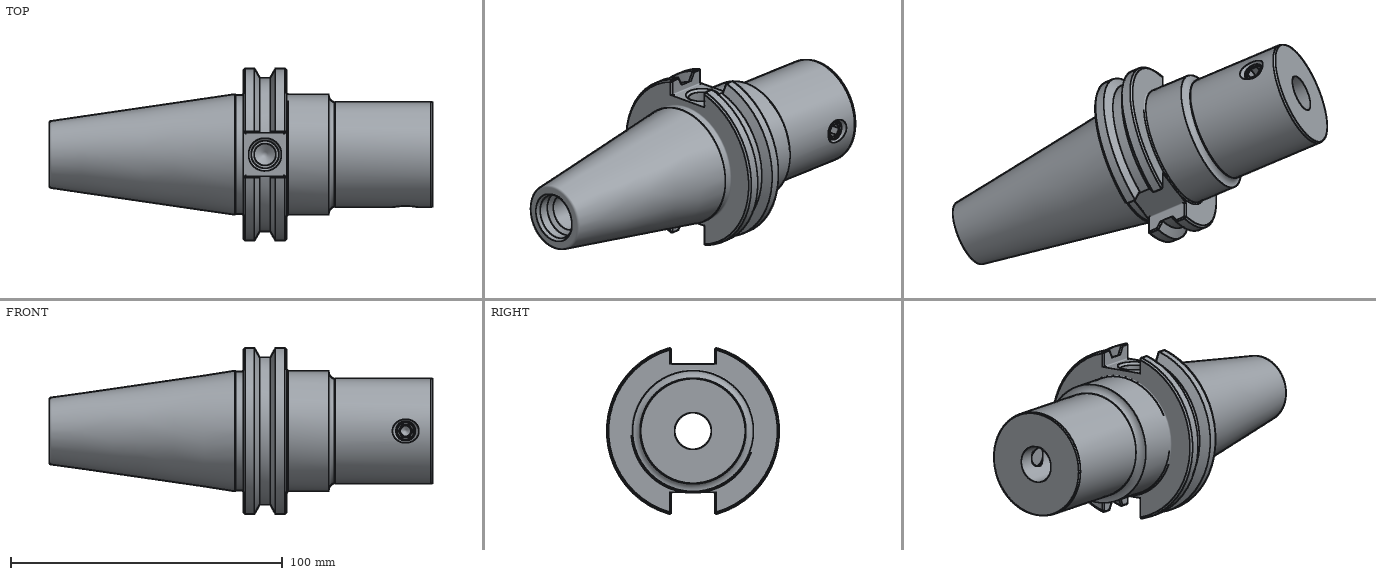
import cadquery as cq
import math

length = 141.2

gauge_diameter = 44.5
gauge_x = 68.4
taper_per_length = 7 / 24
nose_diameter = gauge_diameter - taper_per_length * gauge_x
nose_fillet = 1.0

neck_diameter = 43.9
neck_chamfer = (gauge_diameter - neck_diameter) / 2
flange_diameter = 63.5
flange_start = 71.5
flange_width = 16.0
flange_end = flange_start + flange_width
flange_chamfer = 0.7
flange_root_fillet = 0.5
groove_diameter = 56.8
groove_floor_width = 3.8
groove_x = flange_start + flange_width / 2
groove_flank_angle = 30.0

shoulder_diameter = 44.5
shoulder_end = 103.0
relief_diameter = 38.4
relief_radius = 3.0
relief_width = 2.0
relief_ramp = 0.4
body_diameter = 39.0
body_end_diameter = 38.4
body_chamfer = 0.8

bore_diameter = 13.4
pilot_diameter = 16.5
pilot_mouth_diameter = 18.2
pilot_mouth_depth = 1.4
pilot_depth = 5.2

slot_width = 16.1
slot_edge_chamfer = 0.5
slot_floor_fillet = 0.4
upper_slot_floor = 24.7
lower_slot_floor = 22.6

tolerance = 0.01
end_margin = 1.4
groove_middle_margin = 0.1

socket_mouth_diameter = 12.1
socket_diameter = 10.2
socket_depth = 5.5
socket_point_diameter = 8.0
point_angle = 118.0

screw_x = 131.2
screw_hole_diameter = 7.2
screw_mouth_diameter = 9.7
screw_end_diameter = 6.2
screw_head_y = -17.8
hexagon_across_flats = 4.5
hexagon_point_diameter = 4.0
hexagon_depth = 3.5


def point_height(diameter):
    """Height of a drill point of the given diameter."""
    return diameter / 2 / math.tan(math.radians(point_angle / 2))


def turned_blank():
    """Taper, flange and body, revolved about the X axis."""
    groove_depth = (flange_diameter - groove_diameter) / 2
    groove_half_floor = groove_floor_width / 2
    groove_half_mouth = groove_half_floor + groove_depth * math.tan(math.radians(groove_flank_angle))
    flange_radius = flange_diameter / 2
    groove_radius = groove_diameter / 2
    neck_radius = neck_diameter / 2
    body_radius = body_diameter / 2
    shoulder_outer = shoulder_diameter / 2
    relief_floor = relief_diameter / 2
    relief_end = shoulder_end + relief_width
    root = flange_root_fillet
    profile = (
        cq.Workplane("XY")
        .moveTo(0, 0)
        .lineTo(0, nose_diameter / 2)
        .lineTo(gauge_x, gauge_diameter / 2)
        .lineTo(gauge_x + neck_chamfer, neck_radius)
        .lineTo(flange_start - root, neck_radius)
        .radiusArc((flange_start, neck_radius + root), -root)
        .lineTo(flange_start, flange_radius - flange_chamfer)
        .lineTo(flange_start + flange_chamfer, flange_radius)
        .lineTo(groove_x - groove_half_mouth, flange_radius)
        .lineTo(groove_x - groove_half_floor, groove_radius)
        .lineTo(groove_x + groove_half_floor, groove_radius)
        .lineTo(groove_x + groove_half_mouth, flange_radius)
        .lineTo(flange_end - flange_chamfer, flange_radius)
        .lineTo(flange_end, flange_radius - flange_chamfer)
        .lineTo(flange_end, shoulder_outer + root)
        .radiusArc((flange_end + root, shoulder_outer), -root)
        .lineTo(shoulder_end, shoulder_outer)
        .radiusArc((relief_end, relief_floor), -relief_radius)
        .lineTo(relief_end + relief_ramp, body_radius)
        .lineTo(length - body_chamfer, body_radius)
        .lineTo(length, body_end_diameter / 2)
        .lineTo(length, 0)
        .close()
    )
    blank = profile.revolve(360, (0, 0, 0), (1, 0, 0))
    return blank.faces("<X").edges().fillet(nose_fillet)


def axial_bore():
    """Through bore with a chamfered pilot at the small end."""
    pilot_step = (pilot_diameter - bore_diameter) / 2
    return (
        cq.Workplane("XY")
        .moveTo(0, 0)
        .lineTo(0, pilot_mouth_diameter / 2)
        .lineTo(pilot_mouth_depth, pilot_diameter / 2)
        .lineTo(pilot_depth, pilot_diameter / 2)
        .lineTo(pilot_depth + pilot_step, bore_diameter / 2)
        .lineTo(length, bore_diameter / 2)
        .lineTo(length, 0)
        .close()
        .revolve(360, (0, 0, 0), (1, 0, 0))
    )


def cut_drive_slot(blank, floor_z, side):
    """Cut a slot above (side = 1) or below (side = -1) the axis, then chamfer and fillet its walls."""
    height = flange_diameter / 2
    cutter = cq.Workplane("XY").box(flange_width, slot_width, height)
    slotted = blank.cut(cutter.translate((groove_x, 0, side * (floor_z + height / 2))))
    for wall_y in (-slot_width / 2, slot_width / 2):
        wall_edges = cq.selectors.BoxSelector(
            (flange_start - end_margin, wall_y - tolerance, side * (floor_z + tolerance)),
            (flange_end + end_margin, wall_y + tolerance, side * height),
        )
        groove_floor_edge = cq.selectors.BoxSelector(
            (groove_x - groove_middle_margin, wall_y - tolerance, side * (floor_z + tolerance)),
            (groove_x + groove_middle_margin, wall_y + tolerance, side * height),
        )
        floor_corner = cq.selectors.BoxSelector(
            (flange_start - end_margin, wall_y - tolerance, side * (floor_z - tolerance)),
            (flange_end + end_margin, wall_y + tolerance, side * (floor_z + tolerance)),
        )
        slotted = slotted.edges(wall_edges - groove_floor_edge).chamfer(slot_edge_chamfer)
        slotted = slotted.edges(floor_corner).edges("|X").fillet(slot_floor_fillet)
    return slotted


def slot_socket():
    """Blind hole with a countersunk mouth and a drill point."""
    mouth_chamfer = (socket_mouth_diameter - socket_diameter) / 2
    point_radius = socket_point_diameter / 2
    return (
        cq.Workplane("XZ")
        .moveTo(0, 0)
        .lineTo(socket_mouth_diameter / 2, 0)
        .lineTo(socket_diameter / 2, -mouth_chamfer)
        .lineTo(socket_diameter / 2, -socket_depth)
        .lineTo(point_radius, -socket_depth)
        .lineTo(0, -socket_depth - point_height(socket_point_diameter))
        .close()
        .revolve(360, (0, 0, 0), (0, 1, 0))
        .translate((groove_x, 0, upper_slot_floor))
    )


def screw_hole():
    """Radial hole from the -Y side into the bore, with a countersunk mouth."""
    hole_radius = screw_hole_diameter / 2
    mouth_radius = screw_mouth_diameter / 2
    body_radius = body_diameter / 2
    mouth_depth = mouth_radius - hole_radius
    return (
        cq.Workplane("XY")
        .moveTo(0, 0)
        .lineTo(hole_radius, 0)
        .lineTo(hole_radius, -body_radius + mouth_depth)
        .lineTo(mouth_radius, -body_radius)
        .lineTo(0, -body_radius)
        .close()
        .revolve(360, (0, 0, 0), (0, 1, 0))
        .translate((screw_x, 0, 0))
    )


def make_holder():
    """Tool holder with its bore, drive slots, socket and screw hole."""
    holder = turned_blank()
    holder = cut_drive_slot(holder, upper_slot_floor, 1)
    holder = cut_drive_slot(holder, lower_slot_floor, -1)
    return holder.cut(axial_bore()).cut(slot_socket()).cut(screw_hole())


def make_screw():
    """Set screw with a hexagon socket, reaching from its head to the bore."""
    head_chamfer = (screw_hole_diameter - screw_end_diameter) / 2
    bore_radius = bore_diameter / 2
    screw_length = -bore_radius - screw_head_y
    hexagon_circle = hexagon_across_flats / math.cos(math.radians(30))
    screw = (
        cq.Workplane("XZ", origin=(screw_x, screw_head_y, 0))
        .circle(screw_hole_diameter / 2)
        .extrude(-screw_length)
        .faces("<Y").edges().chamfer(head_chamfer)
    )
    hexagon = (
        cq.Workplane("XZ", origin=(screw_x, screw_head_y, 0))
        .polygon(6, hexagon_circle)
        .extrude(-hexagon_depth)
    )
    socket_point = cq.Workplane(
        cq.Solid.makeCone(
            hexagon_point_diameter / 2,
            0,
            point_height(hexagon_point_diameter),
            cq.Vector(screw_x, screw_head_y + hexagon_depth, 0),
            cq.Vector(0, 1, 0),
        )
    )
    return screw.cut(hexagon).cut(socket_point)


holder = make_holder()
screw = make_screw()
result = cq.Compound.makeCompound([holder.val(), screw.val()])